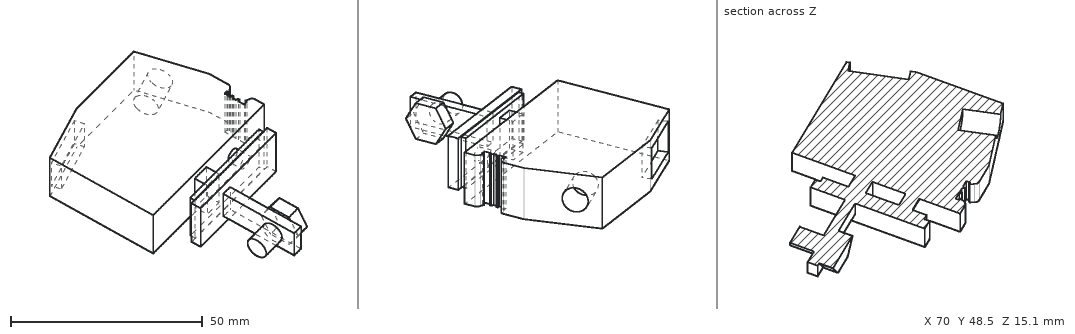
import cadquery as cq
import math


body_length = 38.4
body_height = 48.5
body_thickness = 15.0
lower_bevel_run = 4.7
lower_bevel_rise = 18.0
upper_bevel_run = 20.5
upper_bevel_drop = 5.5

notch_center_x = 31.0
notch_depth = 3.15
notch_wall_half = 3.2
lip_tip_half = 2.6
lip_tip_depth = 1.95
lip_heel_half = 2.85
lip_heel_depth = 2.3
notch_wall_top_depth = 2.1
lip_round_half = 3.2
lip_round_depth = 0.85
lip_round_middle_half = 3.6
lip_round_middle_depth = 0.25
lip_top_half = 4.3
tooth_height = 0.65
tooth_outer_half = 1.2
tooth_crest_half = 0.75
tooth_inner_half = 0.45

pocket_length = 16.0
pocket_width = 9.0
pocket_depth = 2.8
pocket_edge_margin = 1.0

hole_diameter = 7.0
hole_drop = 3.6
hole_depth = 10.0

pin_gap = 4.0
round_pin_diameter = 4.0
round_pin_y = 34.7
flat_pin_height = 5.1
flat_pin_width = 11.2
flat_pin_y = 20.7

flange_y = 25.8
pad_thickness = 1.5
pad_height = 30.0
pad_width = 14.6
flange_thickness = 3.0
flange_height = 33.0
flange_width = 15.1

total_length = 70.0
arm_thickness = 3.0
arm_width = 8.7
arm_y = flat_pin_y
screw_x = 63.0
screw_diameter = 6.1
screw_reach = 6.9
head_across_corners = 12.1
head_height = 4.0

pad_x = body_length + pin_gap
flange_x = pad_x + pad_thickness
arm_x = flange_x + flange_thickness


def block(x_start, length, y_center, height, width):
    """Box from x_start toward +X, centred on y_center and on mid-thickness."""
    return cq.Workplane("XY").box(length, height, width).translate((x_start + length / 2, y_center, 0))


def notch_point(half_width, depth, side):
    """Point beside the notch centre line (side -1 or +1), below the +Y edge."""
    return (notch_center_x + side * half_width, body_height - depth)


def make_housing():
    """Bevelled plate with a mirrored, toothed snap-in notch."""
    round_middle = (lip_round_middle_half, lip_round_middle_depth)
    crest_depth = notch_depth - tooth_height
    half_profile = [
        (lip_round_half, lip_round_depth),
        (lip_tip_half, lip_tip_depth),
        (lip_heel_half, lip_heel_depth),
        (notch_wall_half, notch_wall_top_depth),
        (notch_wall_half, notch_depth),
        (tooth_outer_half, notch_depth),
        (tooth_outer_half, crest_depth),
        (tooth_crest_half, crest_depth),
        (tooth_inner_half, notch_depth),
    ]
    outline = (
        cq.Workplane("XY")
        .workplane(offset=-body_thickness / 2)
        .moveTo(lower_bevel_run, 0)
        .lineTo(0, lower_bevel_rise)
        .lineTo(0, body_height - upper_bevel_drop)
        .lineTo(upper_bevel_run, body_height)
        .lineTo(*notch_point(lip_top_half, 0, -1))
        .threePointArc(notch_point(*round_middle, -1), notch_point(*half_profile[0], -1))
    )
    for half_width, depth in half_profile[1:]:
        outline = outline.lineTo(*notch_point(half_width, depth, -1))
    for half_width, depth in reversed(half_profile):
        outline = outline.lineTo(*notch_point(half_width, depth, 1))
    outline = (
        outline.threePointArc(notch_point(*round_middle, 1), notch_point(lip_top_half, 0, 1))
        .lineTo(body_length, body_height)
        .lineTo(body_length, 0)
        .close()
    )
    return outline.extrude(body_thickness)


def make_pocket():
    """Cutter for the window, square to the lower bevel; half of it lies outside the housing."""
    angle = math.atan2(lower_bevel_run, lower_bevel_rise)
    cutter = cq.Workplane("XY").box(2 * pocket_depth, pocket_length, pocket_width)
    cutter = cutter.translate((0, pocket_edge_margin + pocket_length / 2, 0))
    cutter = cutter.rotate((0, 0, 0), (0, 0, 1), math.degrees(angle))
    return cutter.translate((lower_bevel_run, 0, 0))


def make_hole():
    """Blind hole square to the upper bevel, centred hole_drop below the +Y edge."""
    x = upper_bevel_run * (1 - hole_drop / upper_bevel_drop)
    outward = (-upper_bevel_drop, upper_bevel_run, 0)
    plane = cq.Plane(origin=(x, body_height - hole_drop, 0), xDir=(0, 0, 1), normal=outward)
    return cq.Workplane(plane).circle(hole_diameter / 2).extrude(-hole_depth)


def make_round_pin():
    """Round pin bridging the gap from the housing to the flange pad."""
    plane = cq.Plane(origin=(body_length, round_pin_y, 0), xDir=(0, 0, 1), normal=(1, 0, 0))
    return cq.Workplane(plane).circle(round_pin_diameter / 2).extrude(pin_gap)


def make_screw():
    """Hexagon-head screw along Y, head on the +Y face of the arm."""
    top_y = arm_y + arm_thickness / 2
    plane = cq.Plane(origin=(screw_x, top_y, 0), xDir=(1, 0, 0), normal=(0, 1, 0))
    head = cq.Workplane(plane).polygon(6, head_across_corners).extrude(head_height)
    shank = cq.Workplane(plane).circle(screw_diameter / 2).extrude(-arm_thickness - screw_reach)
    return head.union(shank)


housing = make_housing().cut(make_pocket()).cut(make_hole())
flat_pin = block(body_length, pin_gap, flat_pin_y, flat_pin_height, flat_pin_width)
pad = block(pad_x, pad_thickness, flange_y, pad_height, pad_width)
flange = block(flange_x, flange_thickness, flange_y, flange_height, flange_width)
arm = block(arm_x, total_length - arm_x, arm_y, arm_thickness, arm_width)

result = housing.union(make_round_pin()).union(flat_pin).union(pad).union(flange)
result = result.union(arm).union(make_screw())